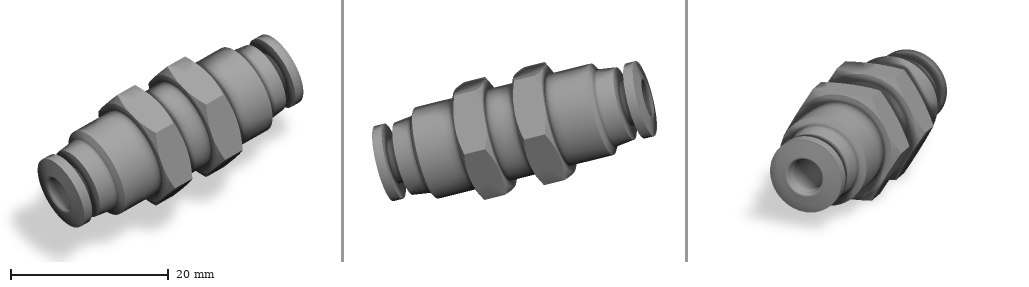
import cadquery as cq
import math

LENGTH = 35.6
HALF_LENGTH = LENGTH / 2

CAP_RADIUS = 4.9
CAP_FACE_RADIUS = 4.8
CAP_CROWN = 0.4
CAP_LENGTH = 1.67
NECK_RADIUS = 2.92
MOUTH_RADIUS = 2.65
MOUTH_ROUNDING = 0.32

SLEEVE_START = 2.85
SLEEVE_CROWN = 0.18
SLEEVE_TIP_RADIUS = 4.75
SLEEVE_BASE_RADIUS = 5.05
SLEEVE_END = 5.52
BODY_START = 6.1
BODY_RADIUS = 5.98

NUT_SIDES = 6
NUT_ACROSS_FLATS = 14.0
NUT_THICKNESS = 4.02
NUT_GAP = 3.95
NUT_CHAMFER_ANGLE = 30.0

TUBE_RADIUS = 2.17
LEAD_IN_DEPTH = 1.17
TUBE_DEPTH = 14.25
BORE_RADIUS = 1.45


def revolve_about_y(points):
    """Revolve a closed (radius, y) outline around the Y axis."""
    return cq.Workplane("XY").polyline(points).close().revolve(360, (0, 0, 0), (0, 1, 0))


def outer_shell():
    """Solid of revolution with identical ends, before boring."""
    profile = [
        (0, 0),
        (MOUTH_RADIUS, 0),
        (CAP_FACE_RADIUS, CAP_CROWN),
        (CAP_RADIUS, CAP_CROWN),
        (CAP_RADIUS, CAP_LENGTH),
        (NECK_RADIUS, CAP_LENGTH),
        (NECK_RADIUS, SLEEVE_START),
        (SLEEVE_TIP_RADIUS, SLEEVE_START + SLEEVE_CROWN),
        (SLEEVE_BASE_RADIUS, SLEEVE_END),
        (BODY_RADIUS, BODY_START),
    ]
    upper = [(radius, HALF_LENGTH - depth) for radius, depth in profile]
    lower = [(radius, -y) for radius, y in reversed(upper)]
    return revolve_about_y(upper + lower)


def tube_socket():
    """Cutter for the +Y socket: rounded mouth, tapered lead-in, straight tube seat."""
    mouth_y = HALF_LENGTH - MOUTH_ROUNDING
    mouth_radius = MOUTH_RADIUS - MOUTH_ROUNDING
    arc_inset = MOUTH_ROUNDING * math.sqrt(0.5)
    outline = (
        cq.Workplane("XY")
        .moveTo(0, HALF_LENGTH)
        .lineTo(MOUTH_RADIUS, HALF_LENGTH)
        .threePointArc((MOUTH_RADIUS - arc_inset, mouth_y + arc_inset), (mouth_radius, mouth_y))
        .lineTo(TUBE_RADIUS, HALF_LENGTH - LEAD_IN_DEPTH)
        .lineTo(TUBE_RADIUS, HALF_LENGTH - TUBE_DEPTH)
        .lineTo(0, HALF_LENGTH - TUBE_DEPTH)
        .close()
    )
    return outline.revolve(360, (0, 0, 0), (0, 1, 0))


def hex_nut():
    """Nut on the +Y side, both faces chamfered, corners pointing along X."""
    inner_face = NUT_GAP / 2
    outer_face = inner_face + NUT_THICKNESS
    flat_radius = NUT_ACROSS_FLATS / 2
    corner_radius = flat_radius / math.cos(math.pi / NUT_SIDES)
    chamfer = (corner_radius - flat_radius) * math.tan(math.radians(NUT_CHAMFER_ANGLE))

    prism = (
        cq.Workplane("XZ", origin=(0, outer_face, 0))
        .polygon(NUT_SIDES, 2 * corner_radius)
        .extrude(NUT_THICKNESS)
    )
    envelope = revolve_about_y([
        (0, inner_face),
        (flat_radius, inner_face),
        (corner_radius, inner_face + chamfer),
        (corner_radius, outer_face - chamfer),
        (flat_radius, outer_face),
        (0, outer_face),
    ])
    return prism.intersect(envelope)


bore = cq.Workplane("XZ").circle(BORE_RADIUS).extrude(HALF_LENGTH, both=True)
nut = hex_nut()
socket = tube_socket()

result = (
    outer_shell()
    .union(nut)
    .union(nut.mirror("XZ"))
    .cut(bore)
    .cut(socket)
    .cut(socket.mirror("XZ"))
)